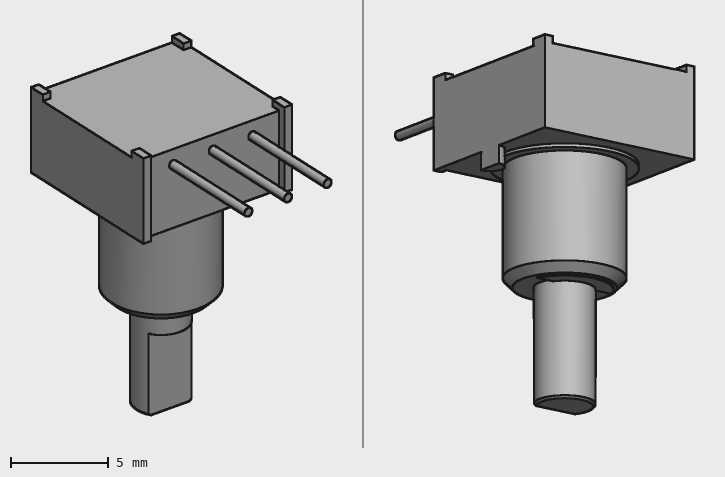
import cadquery as cq


body_size = 9.53
body_height = 4.6
body_center_x = 0.05
body_left_x = body_center_x - body_size / 2
body_right_x = body_center_x + body_size / 2

foot_length = 1.0
foot_width = 0.5
foot_height = 0.38
recess_depth = 0.43

pin_count = 3
pin_pitch = 2.54
pin_diameter = 0.5
pin_reach = 15.48
pin_drop = 1.27
pin_z = body_height + foot_height - pin_drop

flange_diameter = 7.6
flange_thickness = 0.2
sleeve_diameter = 6.35
sleeve_bottom = 6.56
sleeve_chamfer = 0.5

segment_diameter = 5
segment_thickness = 0.1
segment_chord_x = -0.82

overall_height = 17.88
shaft_diameter = 3.18
shaft_length = overall_height - body_height - foot_height
shaft_chamfer = 0.13
flat_offset = 0.79
flat_top = 8.12

peg_radius = 0.77
peg_length = 0.97


def block(x_min, x_max, y_min, y_max, z_min, z_max):
    """Box given by its limits along each axis."""
    size = (x_max - x_min, y_max - y_min, z_max - z_min)
    return cq.Workplane("XY").box(*size, centered=False).translate((x_min, y_min, z_min))


def hanging_cylinder(diameter, length):
    """Cylinder on the Z axis reaching down from Z = 0."""
    return cq.Workplane("XY").circle(diameter / 2).extrude(-length)


def make_body():
    half = body_size / 2
    top = body_height + foot_height
    body = block(body_left_x, body_right_x, -half, half, 0, body_height)

    recess_half = half - foot_width
    recess_x = body_right_x - recess_depth
    body = body.cut(block(recess_x, body_right_x, -recess_half, recess_half, 0, body_height))

    for foot_x in (body_left_x, body_right_x - foot_length):
        for foot_y in (-half, half - foot_width):
            foot = block(foot_x, foot_x + foot_length, foot_y, foot_y + foot_width, body_height, top)
            body = body.union(foot)
    return body


def make_pins():
    start_x = body_right_x - foot_length
    end_x = body_left_x + pin_reach
    return (
        cq.Workplane("YZ", origin=(start_x, 0, pin_z))
        .rarray(pin_pitch, 0.18, pin_count, 1)
        .circle(pin_diameter / 2)
        .extrude(end_x - start_x)
    )


def make_sleeve():
    flange = hanging_cylinder(flange_diameter, flange_thickness)
    sleeve = hanging_cylinder(sleeve_diameter, sleeve_bottom).faces("<Z").chamfer(sleeve_chamfer)
    return flange.union(sleeve)


def make_segment():
    radius = segment_diameter / 2
    depth = sleeve_bottom + segment_thickness
    keep = block(-radius, segment_chord_x, -radius, radius, -depth, 0)
    return hanging_cylinder(segment_diameter, depth).intersect(keep)


def make_shaft():
    radius = shaft_diameter / 2
    shaft = hanging_cylinder(shaft_diameter, shaft_length).faces("<Z").chamfer(shaft_chamfer)
    return shaft.cut(block(flat_offset, radius, -radius, radius, -shaft_length, -flat_top))


def make_peg():
    edge_y = body_size / 2
    return (
        cq.Workplane("XY")
        .moveTo(-peg_radius, edge_y)
        .threePointArc((0, edge_y - peg_radius), (peg_radius, edge_y))
        .close()
        .extrude(-peg_length)
    )


result = make_body()
for feature in (make_pins(), make_sleeve(), make_segment(), make_shaft(), make_peg()):
    result = result.union(feature)